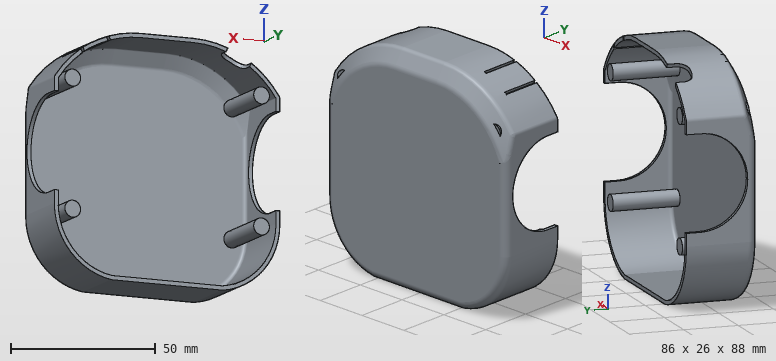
import cadquery as cq
import math

width = 86.0
depth = 26.0
height = 88.0
wall = 1.5

half_width = width / 2
top_z = height / 2
bottom_z = -height / 2
spare = 1.0

crown_flat = 20.0
crown_radius = 39.2
corner_height = 25.1
corner_radius = 25.35

bevel_drop = 6.25
bevel_depth = 3.85
front_round = 3.0
bevel_round = 3.5
crown_round = 2.0
shoulder_round = 2.0

opening_radius = 17.5
opening_center_y = 21.0
opening_center_z = 3.45

crown_angle = 27.0
notch_width = 10.0
notch_depth = 7.0
notch_corner = 4.0
tab_width = 10.0
slit_width = 1.0
slit_length = 15.0
crown_cut_reach = 4.0

post_diameter = 6.0
post_x = 36.0
post_z_levels = (26.1, -20.2)

crown_x = crown_flat / 2
crown_z = top_z - crown_radius
shoulder_z = crown_z + math.sqrt(crown_radius**2 - (half_width - crown_x) ** 2)


def on_arc(center, radius, angle):
    """Point on a circle, at an angle in radians from the first axis towards the second."""
    return center[0] + radius * math.cos(angle), center[1] + radius * math.sin(angle)


def mirrored(point):
    return -point[0], point[1]


def outline(inset):
    """Closed outline on the rear plane, moved inwards by inset; extrusion runs to the front."""
    side_x = half_width - inset
    foot_z = bottom_z + inset

    arc_radius = crown_radius - inset
    crown_center = (crown_x, crown_z)
    crown_start = (crown_x, crown_z + arc_radius)
    shoulder_turn = math.acos((side_x - crown_x) / arc_radius)
    crown_mid = on_arc(crown_center, arc_radius, (math.pi / 2 + shoulder_turn) / 2)
    shoulder = on_arc(crown_center, arc_radius, shoulder_turn)

    bend_radius = corner_radius - inset
    corner_center = (half_width - corner_radius, bottom_z + corner_height)
    corner_start = (side_x, corner_center[1])
    corner_turn = -math.asin((corner_center[1] - foot_z) / bend_radius)
    corner_mid = on_arc(corner_center, bend_radius, corner_turn / 2)
    foot = on_arc(corner_center, bend_radius, corner_turn)

    return (
        cq.Workplane("XZ", origin=(0, depth, 0))
        .moveTo(*mirrored(crown_start))
        .lineTo(*crown_start)
        .threePointArc(crown_mid, shoulder)
        .lineTo(*corner_start)
        .threePointArc(corner_mid, foot)
        .lineTo(*mirrored(foot))
        .threePointArc(mirrored(corner_mid), mirrored(corner_start))
        .lineTo(*mirrored(shoulder))
        .threePointArc(mirrored(crown_mid), mirrored(crown_start))
        .close()
    )


def bevel_profile(inset):
    """Wedge in (radius, Y): a slope blended into the front plate and the crown wall."""
    slope_length = math.hypot(bevel_drop, bevel_depth)
    shrink = 1 - inset * (bevel_drop + bevel_depth - slope_length) / (bevel_drop * bevel_depth)
    wall_r = crown_radius - inset
    plate_y = inset
    slope_start_r = wall_r - shrink * bevel_drop
    slope_end_y = plate_y + shrink * bevel_depth
    lower_radius = bevel_round - inset
    upper_radius = crown_round - inset

    slope_angle = math.atan2(bevel_depth, bevel_drop)
    crown_turn = math.pi / 2 - slope_angle
    lower_setback = lower_radius * math.tan(slope_angle / 2)
    upper_setback = upper_radius * math.tan(crown_turn / 2)
    lower_center = (slope_start_r - lower_setback, plate_y + lower_radius)
    upper_center = (wall_r - upper_radius, slope_end_y + upper_setback)
    normal = slope_angle - math.pi / 2

    return (
        cq.Workplane("XY")
        .moveTo(lower_center[0], plate_y)
        .threePointArc(
            on_arc(lower_center, lower_radius, (normal - math.pi / 2) / 2),
            on_arc(lower_center, lower_radius, normal),
        )
        .lineTo(*on_arc(upper_center, upper_radius, normal))
        .threePointArc(
            on_arc(upper_center, upper_radius, normal / 2),
            (wall_r, upper_center[1]),
        )
        .lineTo(wall_r + spare, upper_center[1])
        .lineTo(wall_r + spare, plate_y - spare)
        .lineTo(lower_center[0], plate_y - spare)
        .close()
    )


def bevel_cutter(inset):
    """Wedge following the crown: two quarter rings joined by a straight bar."""
    ring = bevel_profile(inset).revolve(90, (0, 0, 0), (0, -1, 0))
    ring = ring.translate((crown_x, 0, crown_z))
    bar = (
        bevel_profile(inset)
        .extrude(crown_flat)
        .rotate((0, 0, 0), (0, 1, 0), -90)
        .translate((crown_x, 0, crown_z))
    )
    return bar.union(ring).union(ring.mirror("YZ"))


def rounded_block(inset):
    """Solid cover shape, rounded around the front plate and at the shoulders, moved inwards by inset."""
    below_shoulders = cq.selectors.BoxSelector(
        (-width, -spare, -height), (width, depth / 2, crown_z + crown_radius / 2)
    )
    at_shoulders = cq.selectors.BoxSelector(
        (-width, depth / 2, shoulder_z - inset - spare), (width, depth, shoulder_z + spare)
    )
    block = outline(inset).extrude(depth - inset)
    block = block.faces("<Y").edges(below_shoulders).fillet(front_round - inset)
    block = block.cut(bevel_cutter(inset))
    return block.edges("|Y").edges(at_shoulders).fillet(shoulder_round - inset)


def screw_posts():
    """Round posts from the rear plane to the front plate; the upper two break through the bevel."""
    places = [(side * post_x, z) for side in (-1, 1) for z in post_z_levels]
    return (
        cq.Workplane("XZ", origin=(0, depth, 0))
        .pushPoints(places)
        .circle(post_diameter / 2)
        .extrude(depth - wall)
    )


def side_openings():
    """Slot with a round end, open at the rear, through both side walls."""
    return (
        cq.Workplane("YZ", origin=(-width, 0, opening_center_z))
        .moveTo(depth + spare, opening_radius)
        .lineTo(opening_center_y, opening_radius)
        .threePointArc(
            (opening_center_y - opening_radius, 0),
            (opening_center_y, -opening_radius),
        )
        .lineTo(depth + spare, -opening_radius)
        .close()
        .extrude(2 * width)
    )


def rear_cutter(cut_width, cut_length):
    """Upright block, centred on X and Z, that reaches cut_length forward from the rear plane."""
    return (
        cq.Workplane("XY")
        .box(cut_width, cut_length + spare, 2 * crown_cut_reach)
        .translate((0, depth - (cut_length - spare) / 2, 0))
    )


def place_on_crown(cutter, side):
    """Tilt an upright cutter and move it onto the left (-1) or right (1) crown arc."""
    x, z = on_arc((crown_x, crown_z), crown_radius, math.radians(90 - crown_angle))
    tilted = cutter.rotate((0, 0, 0), (0, 1, 0), side * crown_angle)
    return tilted.translate((side * x, 0, z))


def cable_notch():
    notch = rear_cutter(notch_width, notch_depth)
    return place_on_crown(notch.edges("|Z and <Y").fillet(notch_corner), -1)


def tab_slit(offset):
    slit = rear_cutter(slit_width, slit_length).translate((offset, 0, 0))
    return place_on_crown(slit, 1)


slit_offset = (tab_width + slit_width) / 2

result = rounded_block(0).cut(rounded_block(wall))
result = result.union(screw_posts())
result = result.cut(side_openings())
result = result.cut(cable_notch())
for offset in (-slit_offset, slit_offset):
    result = result.cut(tab_slit(offset))